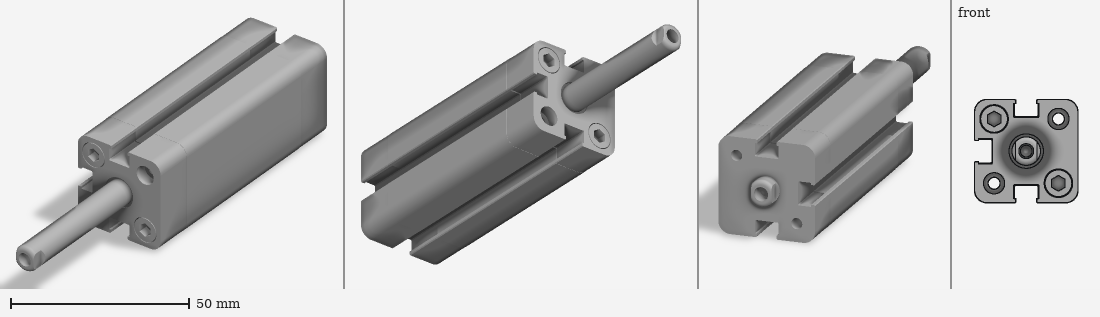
import cadquery as cq
import math

TOTAL_LENGTH = 127.0
CAP_WIDTH = 29.0
TUBE_OVERHANG = 0.05
CORNER_RADIUS = 3.5
FRONT_ROD_LENGTH = 44.5
REAR_ROD_LENGTH = 4.5
CAP_LENGTH = 12.2

SLOT_OPENING = 5.8
SLOT_LIP = 1.1
SLOT_LIP_CHAMFER = 0.3
SLOT_INNER_WIDTH = 7.1
SLOT_DEPTH = 5.1
SLOT_FLOOR_CHAMFER = 0.3
TUBE_SLOT_INSET = 0.3

ROD_DIAMETER = 8.0
ROD_TIP_RADIUS = 1.3
FLATS_WIDTH = 6.1
FLATS_LENGTH = 3.4
ROD_BORE_DIAMETER = 4.2
ROD_BORE_DEPTH = 7.6
ROD_DRILL_DIAMETER = 3.3
ROD_DRILL_DEPTH = 10.2
DRILL_POINT_ANGLE = 118.0
ROD_SEAT_DIAMETER = 9.7
ROD_SEAT_DEPTH = 0.6

CORNER_OFFSET = 9.0
MOUNT_HOLE_DIAMETER = 3.3
MOUNT_BORE_DIAMETER = 6.0
MOUNT_BORE_DEPTH = 3.8
SCREW_BORE_DIAMETER = 8.0
SCREW_HEAD_DIAMETER = 7.5
SCREW_GAP_DEPTH = 3.8
SCREW_HEX_WIDTH = 3.8
SCREW_HEX_DEPTH = 3.2

REAR_TIP = TOTAL_LENGTH / 2
FRONT_TIP = -TOTAL_LENGTH / 2
BODY_REAR = REAR_TIP - REAR_ROD_LENGTH
BODY_FRONT = FRONT_TIP + FRONT_ROD_LENGTH
BODY_LENGTH = BODY_REAR - BODY_FRONT


def front_plane(y):
    """Sketch plane at the given Y: local x is +X, local y is +Z, extrusion goes to -Y."""
    return cq.Workplane("XZ", origin=(0, y, 0))


def slot_cutter(y_start, length, width, inset):
    """T-slot in the +Z side of a section of the given width; the inset shrinks its inner chamber."""
    top = width / 2
    lip_bottom = CAP_WIDTH / 2 - SLOT_LIP
    floor = CAP_WIDTH / 2 - SLOT_DEPTH + inset
    opening = SLOT_OPENING / 2
    inner = SLOT_INNER_WIDTH / 2 - inset
    half_outline = [
        (opening + SLOT_LIP_CHAMFER, top),
        (opening, top - SLOT_LIP_CHAMFER),
        (opening, lip_bottom),
        (inner, lip_bottom),
        (inner, floor + SLOT_FLOOR_CHAMFER),
        (inner - SLOT_FLOOR_CHAMFER, floor),
    ]
    mirrored = [(-x, z) for x, z in reversed(half_outline)]
    return front_plane(y_start).polyline(half_outline + mirrored).close().extrude(-length)


def make_section(y_start, length, width, inset):
    """Square section with rounded corners and T-slots in its +Z, -Z and -X sides."""
    section = front_plane(y_start).rect(width, width).extrude(-length)
    section = section.edges("|Y").fillet(CORNER_RADIUS)
    cutter = slot_cutter(y_start, length, width, inset)
    for angle in (0, 180, -90):
        section = section.cut(cutter.rotate((0, 0, 0), (0, 1, 0), angle))
    return section


def make_body():
    """Slotted tube closed by two end caps; the tube stands slightly proud of the caps."""
    tube_length = BODY_LENGTH - 2 * CAP_LENGTH
    tube_width = CAP_WIDTH + 2 * TUBE_OVERHANG
    front_cap = make_section(BODY_FRONT, CAP_LENGTH, CAP_WIDTH, 0)
    tube = make_section(BODY_FRONT + CAP_LENGTH, tube_length, tube_width, TUBE_SLOT_INSET)
    rear_cap = make_section(BODY_REAR - CAP_LENGTH, CAP_LENGTH, CAP_WIDTH, 0)
    return front_cap.union(tube).union(rear_cap)


def cut_mount_holes(body):
    """Two counterbored through holes on one diagonal."""
    points = [(-CORNER_OFFSET, -CORNER_OFFSET), (CORNER_OFFSET, CORNER_OFFSET)]
    face = front_plane(BODY_FRONT).pushPoints(points)
    body = body.cut(face.circle(MOUNT_HOLE_DIAMETER / 2).extrude(-BODY_LENGTH))
    return body.cut(face.circle(MOUNT_BORE_DIAMETER / 2).extrude(-MOUNT_BORE_DEPTH))


def cut_screw_heads(body):
    """Socket-head screws flush with the front face, each standing in a ring-shaped gap."""
    points = [(-CORNER_OFFSET, CORNER_OFFSET), (CORNER_OFFSET, -CORNER_OFFSET)]
    face = front_plane(BODY_FRONT).pushPoints(points)
    gap = face.circle(SCREW_BORE_DIAMETER / 2).circle(SCREW_HEAD_DIAMETER / 2).extrude(-SCREW_GAP_DEPTH)
    body = body.cut(gap)
    for x, z in points:
        hexagon = (
            front_plane(BODY_FRONT)
            .center(x, z)
            .polygon(6, SCREW_HEX_WIDTH, circumscribed=True)
            .extrude(-SCREW_HEX_DEPTH)
        )
        body = body.cut(hexagon)
    return body


def flats_cutter(side):
    """Material removed beside one wrench flat at the front tip, with a 45 degree run-out."""
    flat = FLATS_WIDTH / 2
    outer = ROD_DIAMETER / 2
    flat_end = FRONT_TIP + FLATS_LENGTH
    profile = [
        (side * flat, FRONT_TIP),
        (side * flat, flat_end),
        (side * outer, flat_end + outer - flat),
        (side * outer, FRONT_TIP),
    ]
    return cq.Workplane("XY").polyline(profile).close().extrude(ROD_DIAMETER / 2, both=True)


def tip_hole():
    """Stepped blind hole in the front tip, ending in a drill point."""
    bore = ROD_BORE_DIAMETER / 2
    drill = ROD_DRILL_DIAMETER / 2
    step = FRONT_TIP + ROD_BORE_DEPTH
    drill_end = FRONT_TIP + ROD_DRILL_DEPTH
    point_depth = drill / math.tan(math.radians(DRILL_POINT_ANGLE / 2))
    profile = [
        (0, FRONT_TIP),
        (bore, FRONT_TIP),
        (bore, step),
        (drill, step),
        (drill, drill_end),
        (0, drill_end + point_depth),
    ]
    return cq.Workplane("XY").polyline(profile).close().revolve(360, (0, 0, 0), (0, 1, 0))


def make_rod():
    """Through rod with rounded ends; both tips carry the same flats and hole."""
    rod = front_plane(FRONT_TIP).circle(ROD_DIAMETER / 2).extrude(-TOTAL_LENGTH)
    rod = rod.faces("<Y or >Y").edges().fillet(ROD_TIP_RADIUS)
    tip_cuts = flats_cutter(-1).union(flats_cutter(1)).union(tip_hole())
    return rod.cut(tip_cuts).cut(tip_cuts.mirror("XZ"))


def cut_rod_seat(body):
    """Shallow round recess around the rod in the front face."""
    return body.cut(front_plane(BODY_FRONT).circle(ROD_SEAT_DIAMETER / 2).extrude(-ROD_SEAT_DEPTH))


body = make_body()
body = cut_mount_holes(body)
body = cut_screw_heads(body)
body = cut_rod_seat(body)
result = body.union(make_rod())